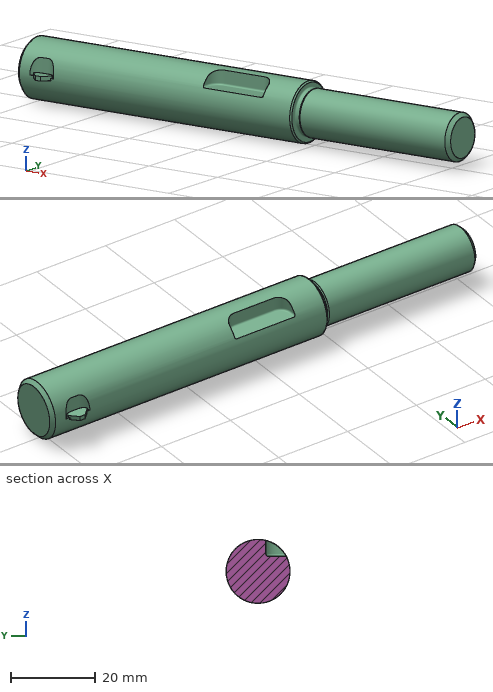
import cadquery as cq

total_length = 125.0
body_diameter = 15.2
body_radius = body_diameter / 2
body_length = 80.2
body_end_chamfer = 1.0
shoulder_chamfer = 0.4
neck_diameter = 11.6
neck_length = 1.1
neck_root_fillet = 0.4
shank_diameter = 12.0
shank_taper_length = 0.4
shank_end_chamfer = 1.0

window_center_x = 62.6
window_length = 17.5
window_back_y = -1.9
window_floor_z = 3.6
window_corner_radius = 3.0
window_floor_fillet = 0.5

recess_center_x = 7.5
recess_length = 7.8
recess_back_y = -6.2
recess_floor_z = 0.0
recess_corner_radius = 2.9

blade_center_x = 7.6
blade_thickness = 1.1
blade_tip_y = -9.4
blade_tip_width = 1.5
blade_root_width = 5.5


def neck_and_shank():
    """Turned profile: neck rounded into the shoulder, taper, shank, end chamfer."""
    neck_radius = neck_diameter / 2
    shank_radius = shank_diameter / 2
    taper_start_x = body_length + neck_length
    return (
        cq.Workplane("XY")
        .moveTo(body_length, 0)
        .lineTo(body_length, neck_radius + neck_root_fillet)
        .radiusArc((body_length + neck_root_fillet, neck_radius), -neck_root_fillet)
        .lineTo(taper_start_x, neck_radius)
        .lineTo(taper_start_x + shank_taper_length, shank_radius)
        .lineTo(total_length - shank_end_chamfer, shank_radius)
        .lineTo(total_length, shank_radius - shank_end_chamfer)
        .lineTo(total_length, 0)
        .close()
        .revolve(360, (0, 0, 0), (1, 0, 0))
    )


def open_pocket(center_x, length, back_y, floor_z, corner_radius):
    """Cutter open upwards and towards -Y, with rounded back corners."""
    depth = 2 * body_radius
    return (
        cq.Workplane("XY")
        .box(length, depth, body_diameter, centered=(True, False, False))
        .edges("|Z and >Y")
        .fillet(corner_radius)
        .translate((center_x, back_y - depth, floor_z))
    )


def blade():
    flank_depth = (blade_root_width - blade_tip_width) / 2
    flank_root_y = blade_tip_y + flank_depth
    half_tip = blade_tip_width / 2
    half_root = blade_root_width / 2
    return (
        cq.Workplane("XY", origin=(blade_center_x, 0, -blade_thickness / 2))
        .polyline(
            [
                (-half_tip, blade_tip_y),
                (half_tip, blade_tip_y),
                (half_root, flank_root_y),
                (half_root, recess_back_y),
                (-half_root, recess_back_y),
                (-half_root, flank_root_y),
            ]
        )
        .close()
        .extrude(blade_thickness)
    )


body = cq.Workplane("YZ").circle(body_radius).extrude(body_length)
body = body.faces("<X").chamfer(body_end_chamfer)
body = body.faces(">X").chamfer(shoulder_chamfer)

window = open_pocket(
    window_center_x, window_length, window_back_y, window_floor_z, window_corner_radius
)
window = window.faces("<Z").edges("not <Y").fillet(window_floor_fillet)
recess = open_pocket(
    recess_center_x, recess_length, recess_back_y, recess_floor_z, recess_corner_radius
)

result = body.union(neck_and_shank()).cut(window).cut(recess).union(blade())